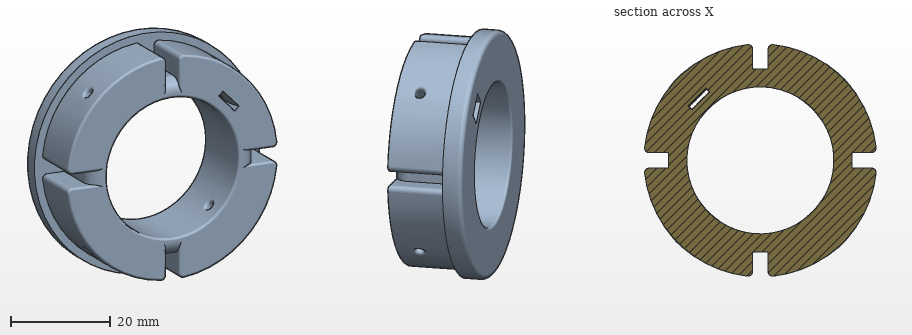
import cadquery as cq
import math

LENGTH = 16.0
FLANGE_DIAMETER = 50.4
FLANGE_THICKNESS = 4.0
FLANGE_FILLET = 1.0
BODY_DIAMETER = 47.0
BODY_RIM_FILLET = 0.5
BORE_DIAMETER = 29.5
BORE_RIM_FILLET = 0.5

SLOT_COUNT = 4
SLOT_WIDTH = 3.0
SLOT_FLOOR_RADIUS = 18.5
SLOT_SHOULDER_FILLET = 1.0
SLOT_EXIT_RADIUS = 3.0

HOLE_DIAMETER = 2.0
HOLE_X = 11.0
HOLE_FILLET = 0.5

PASSAGE_WIDTH = 5.0
PASSAGE_INNER_RADIUS = 17.0
PASSAGE_THROAT_RADIUS = 17.8
PASSAGE_BOW_RADIUS = 25.0

body_radius = BODY_DIAMETER / 2
bore_radius = BORE_DIAMETER / 2
slot_pitch = 360.0 / SLOT_COUNT
first_hole_angle = slot_pitch / 2
clearance = 1.0
tolerance = 0.01


def turned(shape, angle):
    """Turn a shape about the ring axis, from +Z toward +Y for a positive angle."""
    return shape.rotate((0, 0, 0), (1, 0, 0), -angle)


def distance_from_axis(point):
    return math.hypot(point.y, point.z)


def make_flange():
    flange = cq.Workplane("YZ").circle(FLANGE_DIAMETER / 2).extrude(FLANGE_THICKNESS)
    return flange.faces("<X").edges().fillet(FLANGE_FILLET)


def slot_cutter():
    """Slot on the +Z side, with a floor that rolls off toward the axis at the free end."""
    roll_off_x = LENGTH - SLOT_EXIT_RADIUS
    exit_height = SLOT_FLOOR_RADIUS - SLOT_EXIT_RADIUS
    top = body_radius + clearance
    return (
        cq.Workplane("XZ")
        .moveTo(FLANGE_THICKNESS, top)
        .lineTo(FLANGE_THICKNESS, SLOT_FLOOR_RADIUS)
        .lineTo(roll_off_x, SLOT_FLOOR_RADIUS)
        .radiusArc((LENGTH, exit_height), SLOT_EXIT_RADIUS)
        .lineTo(LENGTH, top)
        .close()
        .extrude(SLOT_WIDTH / 2, both=True)
    )


def make_body():
    """Slotted cylinder with rounded slot shoulders and a rounded free end."""
    slotted = cq.Workplane("YZ", origin=(FLANGE_THICKNESS, 0, 0)).circle(body_radius)
    slotted = slotted.extrude(LENGTH - FLANGE_THICKNESS)
    for i in range(SLOT_COUNT):
        slotted = slotted.cut(turned(slot_cutter(), i * slot_pitch))

    shoulders = [
        edge
        for edge in slotted.edges("|X").vals()
        if abs(distance_from_axis(edge.positionAt(0.5)) - body_radius) < tolerance
    ]
    rounded = slotted.newObject(shoulders).fillet(SLOT_SHOULDER_FILLET)

    end_arcs = [
        edge
        for edge in rounded.faces(">X").edges("%CIRCLE").vals()
        if abs(distance_from_axis(edge.positionAt(0.5)) - body_radius) < tolerance
    ]
    return rounded.newObject(end_arcs).fillet(BODY_RIM_FILLET)


def open_bore(ring):
    """Through bore, rounded at both rims."""
    bored = ring.cut(cq.Workplane("YZ").circle(bore_radius).extrude(LENGTH))
    rims = [
        edge
        for edge in bored.edges("%CIRCLE").vals()
        if abs(distance_from_axis(edge.positionAt(0.5)) - bore_radius) < tolerance
    ]
    return bored.newObject(rims).fillet(BORE_RIM_FILLET)


def passage_cutter():
    """Rectangular passage on the +Z side, flat on its inner wall and bowed on its outer wall."""
    bow_center_radius = PASSAGE_THROAT_RADIUS + PASSAGE_BOW_RADIUS

    def outer_wall(x):
        return bow_center_radius - math.sqrt(PASSAGE_BOW_RADIUS ** 2 - (x - HOLE_X) ** 2)

    return (
        cq.Workplane("XZ")
        .moveTo(0, PASSAGE_INNER_RADIUS)
        .lineTo(0, outer_wall(0))
        .threePointArc((HOLE_X, PASSAGE_THROAT_RADIUS), (LENGTH, outer_wall(LENGTH)))
        .lineTo(LENGTH, PASSAGE_INNER_RADIUS)
        .close()
        .extrude(PASSAGE_WIDTH / 2, both=True)
    )


def drill_radial_holes(ring):
    """Holes from the bore to the outside, rounded where they meet both cylinders."""
    for i in range(SLOT_COUNT):
        hole = cq.Workplane("XY", origin=(HOLE_X, 0, 0)).circle(HOLE_DIAMETER / 2)
        hole = hole.extrude(body_radius + clearance)
        ring = ring.cut(turned(hole, first_hole_angle + i * slot_pitch))
    mouths = []
    for edge in ring.edges().vals():
        box = edge.BoundingBox()
        centered_on_hole = abs(box.center.x - HOLE_X) < tolerance
        spans_hole = abs(box.xlen - HOLE_DIAMETER) < tolerance
        if centered_on_hole and spans_hole:
            mouths.append(edge)
    return ring.newObject(mouths).fillet(HOLE_FILLET)


ring = make_flange().union(make_body())
ring = open_bore(ring)
ring = drill_radial_holes(ring)
result = ring.cut(turned(passage_cutter(), first_hole_angle))